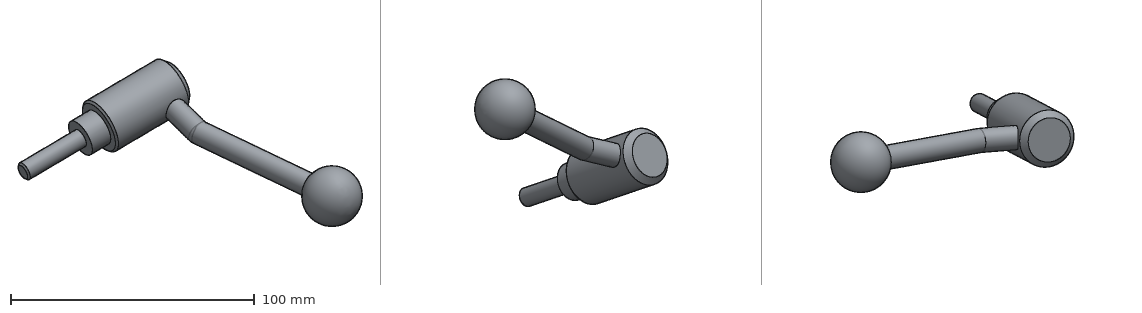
import cadquery as cq
import math

hub_diameter = 24.0
hub_length = 40.0
hub_top_chamfer = 2.7
hub_bottom_chamfer = 0.9
collar_diameter = 16.0
collar_length = 9.6
pin_diameter = 8.0
pin_length = 29.9
pin_chamfer = 0.8

ball_diameter = 25.0
overall_length = 112.5
arm_diameter = 10.0
arm_height = 30.6
arm_angle = 20.0
bend_x = 27.1
ball_x = overall_length - hub_diameter / 2 - ball_diameter / 2
ball_y = arm_height + (ball_x - bend_x) * math.tan(math.radians(arm_angle))


def cylinder_along_y(diameter, start_y, length):
    """Cylinder on the Y axis, running from start_y towards +Y."""
    plane = cq.Plane(origin=(0, start_y, 0), xDir=(1, 0, 0), normal=(0, 1, 0))
    return cq.Workplane(plane).circle(diameter / 2).extrude(length)


def make_hub():
    hub = cylinder_along_y(hub_diameter, 0, hub_length)
    hub = hub.faces(">Y").chamfer(hub_top_chamfer)
    return hub.faces("<Y").chamfer(hub_bottom_chamfer)


def make_collar():
    return cylinder_along_y(collar_diameter, -collar_length, collar_length)


def make_pin():
    pin = cylinder_along_y(pin_diameter, -collar_length - pin_length, pin_length)
    return pin.faces("<Y").chamfer(pin_chamfer)


def arm_bar(start_x, end_x, angle):
    """Round bar from start_x to end_x at arm height, tilted from X towards Y by angle."""
    tilt = math.radians(angle)
    direction = (math.cos(tilt), math.sin(tilt), 0)
    plane = cq.Plane(origin=(start_x, arm_height, 0), xDir=(0, 0, 1), normal=direction)
    return cq.Workplane(plane).circle(arm_diameter / 2).extrude((end_x - start_x) / math.cos(tilt))


def make_arm():
    """Straight bar and tilted bar, joined by a sphere that rounds the outside of the bend."""
    straight_bar = arm_bar(0, bend_x, 0)
    tilted_bar = arm_bar(bend_x, ball_x, arm_angle)
    bend = cq.Workplane("XY").sphere(arm_diameter / 2).translate((bend_x, arm_height, 0))
    return straight_bar.union(tilted_bar).union(bend)


def make_ball():
    return cq.Workplane("XY").sphere(ball_diameter / 2).translate((ball_x, ball_y, 0))


result = make_hub().union(make_collar()).union(make_pin()).union(make_arm()).union(make_ball())